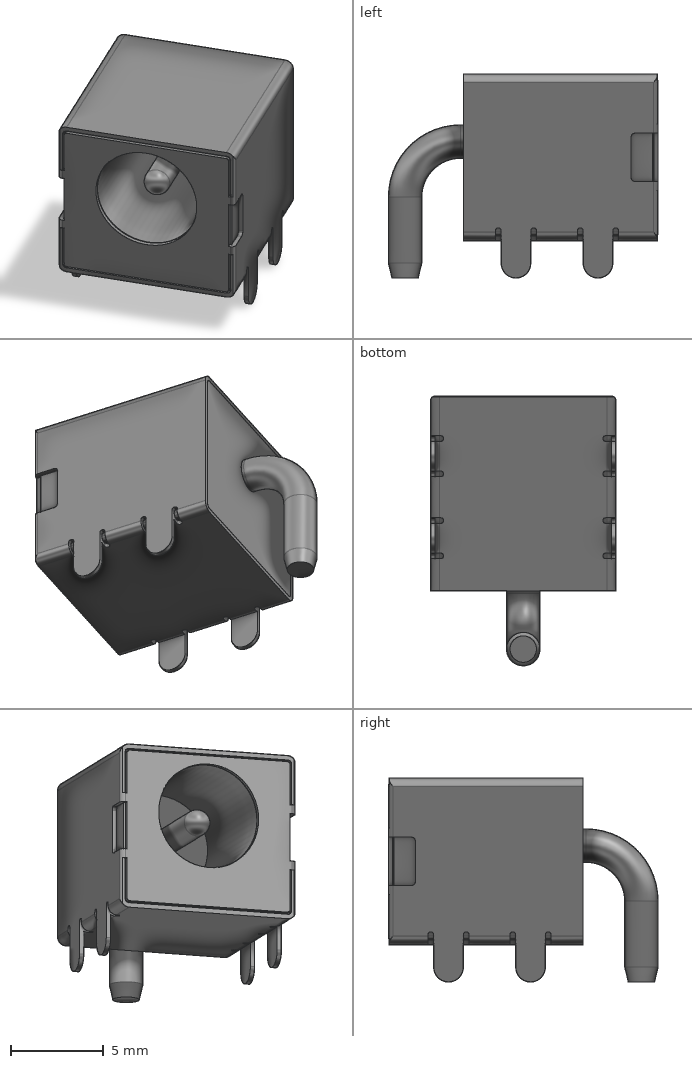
import cadquery as cq


width = 10.0
height = 9.0
depth = 10.5
sheet = 0.25
corner_radius = 0.48
half_width = width / 2
mid_height = height / 2

plate_gap = 0.1
plate_inset = sheet + plate_gap
plate_corner_radius = corner_radius - plate_inset
edge_setback = 0.05
insert_clearance = 0.05
insert_front = sheet + insert_clearance
bend_height = 0.5

window_depth = 1.45
window_height = 2.6
window_corner_radius = 0.2

leg_width = 1.6
leg_length = 2.01
leg_positions = [3.25, 7.67]
relief_width = 0.3
relief_height = 0.7
relief_reach = 0.7

axis_height = height - 3.65
socket_diameter = 5.7
socket_depth = 8.44
pin_diameter = 1.43
pin_tip_depth = 1.25

terminal_diameter = 1.8
terminal_stub = 0.15
elbow_radius = 3.0
taper_length = 0.8


def block(x_range, y_range, z_range):
    """Box between the given limits on each axis."""
    (x0, x1), (y0, y1), (z0, z1) = x_range, y_range, z_range
    return cq.Workplane("XY").box(x1 - x0, y1 - y0, z1 - z0, centered=False).translate((x0, y0, z0))


def rounded_prism(inset, radius, y_start, y_end):
    """Bar along Y with the shell's cross-section, shrunk by inset on every side."""
    return (
        cq.Workplane("XZ", origin=(0, y_start, mid_height))
        .rect(width - 2 * inset, height - 2 * inset)
        .extrude(y_start - y_end)
        .edges("|Y")
        .fillet(radius)
    )


def cylinder_y(diameter, y_start, y_end):
    """Round bar on the socket axis."""
    return (
        cq.Workplane("XZ", origin=(0, y_start, axis_height))
        .circle(diameter / 2)
        .extrude(y_start - y_end)
    )


def both_sides(left):
    """A shape on the -X side together with its mirror image."""
    return left.union(left.mirror("YZ"))


def front_gap():
    """Gap around the front plate and setback of the wall edges, interrupted at the bends."""
    plate = rounded_prism(plate_inset, plate_corner_radius, 0, sheet)
    setback = block((-half_width, half_width), (0, edge_setback), (0, height))
    ring = rounded_prism(sheet, corner_radius - sheet, 0, sheet).union(setback).cut(plate)
    bend_centre_offset = (window_height + bend_height) / 2
    for direction in (-1, 1):
        centre = mid_height + direction * bend_centre_offset
        bend = block(
            (-half_width, -half_width + plate_inset),
            (0, sheet),
            (centre - bend_height / 2, centre + bend_height / 2),
        )
        ring = ring.cut(both_sides(bend))
    return ring


def side_windows():
    """Openings in the side walls, rounded at the back."""
    window = (
        block(
            (-half_width, -half_width + sheet),
            (0, window_depth),
            (mid_height - window_height / 2, mid_height + window_height / 2),
        )
        .edges("|X and >Y")
        .fillet(window_corner_radius)
    )
    return both_sides(window)


def leg(y):
    """Round-ended leg that continues the -X side wall downwards."""
    end_radius = leg_width / 2
    end_centre = end_radius - leg_length
    strip = block(
        (-half_width, -half_width + sheet),
        (y - end_radius, y + end_radius),
        (end_centre, relief_height),
    )
    round_end = (
        cq.Workplane("YZ", origin=(-half_width, y, end_centre))
        .circle(end_radius)
        .extrude(sheet)
    )
    return strip.union(round_end)


def leg_reliefs(y):
    """Slots round the bottom bend on both sides of a leg, with round ends in the two walls."""
    slots = cq.Workplane("XY")
    end_radius = relief_width / 2
    for direction in (-1, 1):
        centre = y + direction * (leg_width + relief_width) / 2
        y_range = (centre - end_radius, centre + end_radius)
        x_wall = (-half_width, -half_width + sheet)
        side_slot = block(x_wall, y_range, (0, relief_height - end_radius))
        side_end = (
            cq.Workplane("YZ", origin=(-half_width, centre, relief_height - end_radius))
            .circle(end_radius)
            .extrude(sheet)
        )
        x_end = -half_width + relief_reach - end_radius
        bottom_slot = block((-half_width, x_end), y_range, (0, corner_radius))
        bottom_end = cq.Workplane("XY", origin=(x_end, centre, 0)).circle(end_radius).extrude(corner_radius)
        slots = slots.union(side_slot).union(side_end).union(bottom_slot).union(bottom_end)
    return slots


def shell_interior(y_start):
    """Space between the shell's walls, from y_start to the open back."""
    return rounded_prism(sheet, corner_radius - sheet, y_start, depth)


def make_shell():
    plan = (
        block((-half_width, half_width), (0, depth), (0, height))
        .edges("|Z and <Y")
        .fillet(sheet)
    )
    shell = rounded_prism(0, corner_radius, 0, depth).intersect(plan)
    for y in leg_positions:
        shell = shell.cut(both_sides(leg_reliefs(y))).union(both_sides(leg(y)))
    return (
        shell.cut(shell_interior(sheet))
        .cut(front_gap())
        .cut(side_windows())
        .cut(cylinder_y(socket_diameter, 0, sheet))
    )


def make_pin():
    """Contact pin with a ball tip, standing on the socket floor."""
    tip_radius = pin_diameter / 2
    ball_centre = pin_tip_depth + tip_radius
    ball = cq.Workplane("XY").sphere(tip_radius).translate((0, ball_centre, axis_height))
    return cylinder_y(pin_diameter, ball_centre, socket_depth).union(ball)


def make_terminal():
    """Terminal that leaves the back, bends down and ends in a taper level with the legs."""
    elbow_start = depth + terminal_stub
    drop_y = elbow_start + elbow_radius
    elbow_end = axis_height - elbow_radius
    taper_top = taper_length - leg_length
    stub = cylinder_y(terminal_diameter, depth, elbow_start)
    elbow = (
        cq.Workplane("XZ", origin=(0, elbow_start, axis_height))
        .circle(terminal_diameter / 2)
        .revolve(90, (0.15, -elbow_radius), (-0.15, -elbow_radius))
    )
    drop = (
        cq.Workplane("XY", origin=(0, drop_y, taper_top))
        .circle(terminal_diameter / 2)
        .extrude(elbow_end - taper_top)
    )
    taper = (
        cq.Workplane("XY", origin=(0, drop_y, taper_top))
        .circle(terminal_diameter / 2)
        .workplane(offset=-taper_length)
        .circle(pin_diameter / 2)
        .loft()
    )
    return stub.union(elbow).union(drop).union(taper)


def make_insert():
    housing = shell_interior(insert_front).cut(cylinder_y(socket_diameter, insert_front, socket_depth))
    return housing.union(make_pin()).union(make_terminal())


shell = make_shell()
insert = make_insert()

result = cq.Compound.makeCompound([shell.val(), insert.val()])